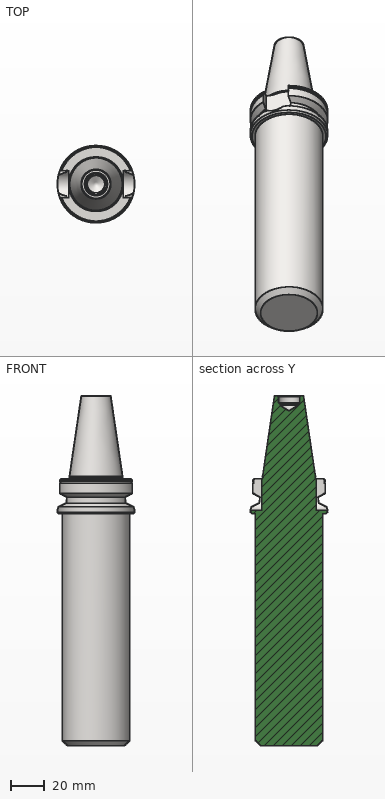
import cadquery as cq
import math

total_length = 208.5
gauge_height = 160.5

body_radius = 20.2
end_chamfer_width = 3.3
end_chamfer_height = 3.1

flange_radius = 23.03
flange_bottom = 138.0
flange_top = 159.0
flange_chamfer = 1.0
ring_groove_top = 157.3
ring_groove_width = 1.0
ring_groove_depth = 0.5
groove_radius = 19.2
groove_floor_bottom = 144.5
groove_floor_top = 148.0
groove_flank_angle = 30.0

taper_radius = 15.8
taper_ratio = 7 / 24
taper_tip_radius = taper_radius - (total_length - gauge_height) * taper_ratio / 2
tip_chamfer = 0.5
neck_radius = 15.6
neck_foot_radius = 16.3
neck_foot_height = 0.6

bore_radius = 5.2
counterbore_radius = 6.3
counterbore_depth = 4.2
shoulder_height = 0.8
bore_depth = 5.8
drill_point_angle = 118.0
bore_mouth_chamfer = 0.6

slot_width = 16.0
slot_floor_offset = 16.3
slot_bottom = 140.3


def make_holder():
    """Revolve the outer profile of body, flange and taper."""
    flank_height = (flange_radius - groove_radius) * math.tan(math.radians(groove_flank_angle))
    profile = [
        (0, 0),
        (body_radius - end_chamfer_width, 0),
        (body_radius, end_chamfer_height),
        (body_radius, flange_bottom),
        (flange_radius - flange_chamfer, flange_bottom),
        (flange_radius, flange_bottom + flange_chamfer),
        (flange_radius, groove_floor_bottom - flank_height),
        (groove_radius, groove_floor_bottom),
        (groove_radius, groove_floor_top),
        (flange_radius, groove_floor_top + flank_height),
        (flange_radius, ring_groove_top - ring_groove_width),
        (flange_radius - ring_groove_depth, ring_groove_top - ring_groove_width),
        (flange_radius - ring_groove_depth, ring_groove_top),
        (flange_radius, ring_groove_top),
        (flange_radius, flange_top - flange_chamfer),
        (flange_radius - flange_chamfer, flange_top),
        (neck_foot_radius, flange_top),
        (neck_radius, flange_top + neck_foot_height),
        (neck_radius, gauge_height),
        (taper_radius, gauge_height),
        (taper_tip_radius, total_length - tip_chamfer),
        (taper_tip_radius - tip_chamfer, total_length),
        (0, total_length),
    ]
    return cq.Workplane("XZ").polyline(profile).close().revolve(360, (0, 0), (0, 1))


def make_bore():
    """Stepped blind bore with a chamfered mouth, a conical shoulder and a drill-point bottom."""
    shoulder = total_length - counterbore_depth
    bore_bottom = total_length - bore_depth
    point_height = bore_radius / math.tan(math.radians(drill_point_angle / 2))
    profile = [
        (0, total_length),
        (counterbore_radius + bore_mouth_chamfer, total_length),
        (counterbore_radius, total_length - bore_mouth_chamfer),
        (counterbore_radius, shoulder),
        (bore_radius, shoulder - shoulder_height),
        (bore_radius, bore_bottom),
        (0, bore_bottom - point_height),
    ]
    return cq.Workplane("XZ").polyline(profile).close().revolve(360, (0, 0), (0, 1))


def make_drive_slot(side):
    """Round-bottomed slot, open at the flange top; side is -1 or +1 along X."""
    half_width = slot_width / 2
    arc_center = slot_bottom + half_width
    outline = (
        cq.Workplane("YZ", origin=(side * slot_floor_offset, 0, 0))
        .moveTo(-half_width, gauge_height)
        .lineTo(-half_width, arc_center)
        .threePointArc((0, slot_bottom), (half_width, arc_center))
        .lineTo(half_width, gauge_height)
        .close()
    )
    return outline.extrude(side * flange_radius)


result = make_holder().cut(make_bore())
for slot_side in (-1, 1):
    result = result.cut(make_drive_slot(slot_side))